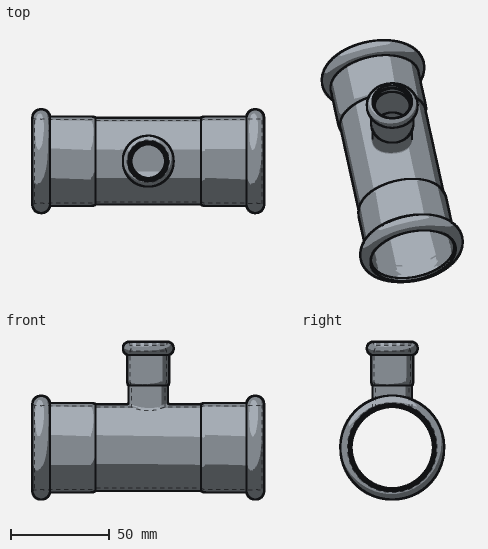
import cadquery as cq


RUN_LENGTH = 117.3
TOTAL_HEIGHT = 79.9
JUNCTION_FILLET = 0.7

RUN_END = dict(
    neck_diameter=44.0, bore_diameter=41.0,
    socket_diameter=45.4, socket_bore=42.3,
    bead_diameter=52.7, mouth_diameter=44.0, lip_bore=42.7, seal_diameter=42.3,
    bead_width=9.0, flare_depth=1.3, seal_start=3.0, seal_end=6.0,
    taper_start=8.2, taper_end=9.0, socket_depth=29.8, step_end=32.0,
)
BRANCH_END = dict(
    neck_diameter=20.0, bore_diameter=17.0,
    socket_diameter=21.3, socket_bore=18.3,
    bead_diameter=25.8, mouth_diameter=20.0, lip_bore=18.7, seal_diameter=17.6,
    bead_width=6.7, flare_depth=1.3, seal_start=1.9, seal_end=4.8,
    taper_start=5.4, taper_end=6.7, socket_depth=20.2, step_end=22.2,
)

BRANCH_TOP = TOTAL_HEIGHT - RUN_END["bead_diameter"] / 2


def press_end_outside(end, length):
    """Solid of the outer shape, mouth at Z = 0 and reaching up to Z = length."""
    profile = (
        cq.Workplane("XZ")
        .moveTo(0, 0)
        .lineTo(end["mouth_diameter"] / 2, 0)
        .threePointArc(
            (end["bead_diameter"] / 2, end["bead_width"] / 2),
            (end["socket_diameter"] / 2, end["bead_width"]),
        )
        .lineTo(end["socket_diameter"] / 2, end["socket_depth"])
        .tangentArcPoint((end["neck_diameter"] / 2, end["step_end"]), relative=False)
        .lineTo(end["neck_diameter"] / 2, length)
        .lineTo(0, length)
        .close()
    )
    return profile.revolve(360, (0, 0, 0), (0, 1, 0))


def press_end_inside(end, length):
    """Solid of the hollow: flared lip, raised seal ring, socket and stepped bore."""
    lip_radius = end["lip_bore"] / 2
    seal_middle = (end["seal_start"] + end["seal_end"]) / 2
    profile = (
        cq.Workplane("XZ")
        .moveTo(0, 0)
        .lineTo(end["mouth_diameter"] / 2, 0)
        .lineTo(lip_radius, end["flare_depth"])
        .lineTo(lip_radius, end["seal_start"])
        .threePointArc((end["seal_diameter"] / 2, seal_middle), (lip_radius, end["seal_end"]))
        .lineTo(lip_radius, end["taper_start"])
        .lineTo(end["socket_bore"] / 2, end["taper_end"])
        .lineTo(end["socket_bore"] / 2, end["socket_depth"])
        .tangentArcPoint((end["bore_diameter"] / 2, end["step_end"]), relative=False)
        .lineTo(end["bore_diameter"] / 2, length)
        .lineTo(0, length)
        .close()
    )
    return profile.revolve(360, (0, 0, 0), (0, 1, 0))


def place_on_run(half):
    """Turn a half run so its mouth faces -X, and mirror it to make the full run."""
    left = half.rotate((0, 0, 0), (0, 1, 0), 90).translate((-RUN_LENGTH / 2, 0, 0))
    return left.union(left.mirror("YZ"))


def place_on_branch(end_solid):
    """Turn a press end so its mouth faces +Z at the top of the branch."""
    return end_solid.rotate((0, 0, 0), (1, 0, 0), 180).translate((0, 0, BRANCH_TOP))


outside = place_on_run(press_end_outside(RUN_END, RUN_LENGTH / 2))
outside = outside.union(place_on_branch(press_end_outside(BRANCH_END, BRANCH_TOP)))

SELECTION_MARGIN = 0.1
saddle_reach = BRANCH_END["neck_diameter"] / 2 + SELECTION_MARGIN
saddle_top = RUN_END["neck_diameter"] / 2 + SELECTION_MARGIN
saddle_zone = cq.selectors.BoxSelector(
    (-saddle_reach, -saddle_reach, 0),
    (saddle_reach, saddle_reach, saddle_top),
    boundingbox=True,
)
outside = outside.edges(saddle_zone).fillet(JUNCTION_FILLET)

result = (
    outside
    .cut(place_on_run(press_end_inside(RUN_END, RUN_LENGTH / 2)))
    .cut(place_on_branch(press_end_inside(BRANCH_END, BRANCH_TOP)))
)